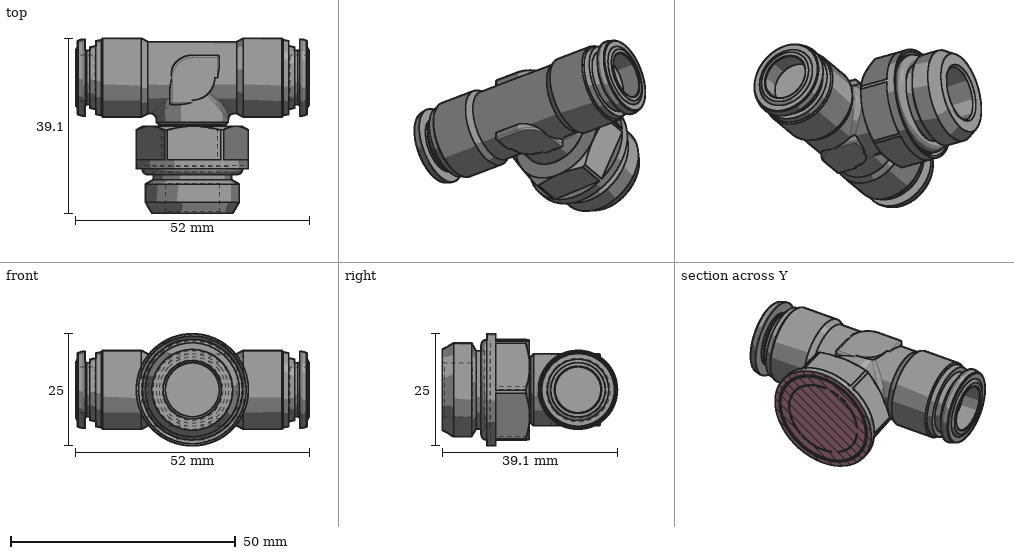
import cadquery as cq
import math

run_radius = 8.03
sleeve_radius = 8.8
sleeve_taper_start = 9.9
sleeve_start = 11.35
sleeve_end = 19.95
sleeve_rim_length = 0.3

cap_end = 21.5
cap_root_radius = 8.45
cap_tip_radius = 8.2
insert_end = 22.8
insert_root_radius = 7.1
insert_tip_radius = 6.8
collar_neck_radius = 6.05
collar_flare_start = 23.5
collar_flare_radius = 6.2

collar_flange_start = 23.9
collar_flange_taper_start = 24.35
collar_flange_end = 25.6
collar_flange_back_radius = 8.6
collar_flange_front_radius = 8.3
collar_flange_edge_chamfer = 0.2
run_half_length = 26.0
lip_root_radius = 6.83
lip_tip_radius = 6.05

tube_bore_radius = 5.1
tube_bore_chamfer = 0.17
tube_bore_depth = 4.3

neck_radius = 8.05
neck_end = -10.53
neck_chamfer = 0.65
neck_fillet = 1.2

pad_height = neck_radius
pad_inner = 5.0
pad_outer = 6.0
pad_fillet = 0.5

shoulder_radius = 6.75
hex_back = -10.8
hex_front = -18.3
hex_across_flats = 22.0
hex_turn = 2.1
flange_radius = 12.5
flange_face = -20.3
hex_chamfer_depth = 0.85

seal_major_radius = 9.9
seal_section_radius = 1.3
seal_recess_outer = 12.0
seal_recess_depth = 0.8
undercut_radius = 8.75
undercut_end = -22.7
thread_radius = 10.47
thread_start = -23.7
thread_end = -27.72
stud_end = -30.25
stud_tip_radius = 9.0
stud_bore_radius = 6.0
stud_bore_chamfer = 0.5
stud_bore_depth = 6.7


def turned_about_x(points):
    """Revolve an outline of (x, radius) points about the X axis."""
    outline = cq.Workplane("XY").polyline(points).close()
    return outline.revolve(360, (0, 0, 0), (1, 0, 0))


def turned_about_y(points):
    """Revolve an outline of (radius, y) points about the Y axis."""
    outline = cq.Workplane("XY").polyline(points).close()
    return outline.revolve(360, (0, 0, 0), (0, 1, 0))


def make_run_and_neck():
    """Plain tee of two crossing cylinders, blended where they meet."""
    run = cq.Workplane("YZ").circle(run_radius).extrude(sleeve_start, both=True)
    neck = turned_about_y([
        (0, 0),
        (neck_radius, 0),
        (neck_radius, neck_end + neck_chamfer),
        (neck_radius - neck_chamfer, neck_end),
        (0, neck_end),
    ])
    tee = run.union(neck)
    return tee.edges("%BSPLINE").fillet(neck_fillet)


def make_port():
    """Sleeve, release collar and tube bore of the port on the +X end."""
    port = turned_about_x([
        (sleeve_taper_start, 0),
        (sleeve_taper_start, run_radius),
        (sleeve_start, sleeve_radius),
        (sleeve_end, sleeve_radius),
        (sleeve_end + sleeve_rim_length, cap_root_radius),
        (cap_end, cap_tip_radius),
        (cap_end, insert_root_radius),
        (insert_end, insert_tip_radius),
        (insert_end, collar_neck_radius),
        (collar_flare_start, collar_neck_radius),
        (collar_flange_start, collar_flare_radius),
        (collar_flange_start, collar_flange_back_radius),
        (collar_flange_taper_start, collar_flange_back_radius),
        (collar_flange_end - collar_flange_edge_chamfer, collar_flange_front_radius),
        (collar_flange_end, collar_flange_front_radius - collar_flange_edge_chamfer),
        (collar_flange_end, lip_root_radius),
        (run_half_length, lip_tip_radius),
        (run_half_length, 0),
    ])
    bore_floor = run_half_length - tube_bore_depth
    bore = turned_about_x([
        (bore_floor, 0),
        (bore_floor, tube_bore_radius),
        (run_half_length - tube_bore_chamfer, tube_bore_radius),
        (run_half_length, tube_bore_radius + tube_bore_chamfer),
        (run_half_length, 0),
    ])
    return port.cut(bore)


def make_pad():
    """Leaf-shaped pad: two small corners, two broad arcs, and filleted proud edges."""
    diagonal = pad_inner * math.sqrt(0.5)
    blank = (
        cq.Workplane("XY")
        .moveTo(pad_outer, 0)
        .lineTo(pad_outer, pad_inner)
        .lineTo(0, pad_inner)
        .threePointArc((-diagonal, diagonal), (-pad_inner, 0))
        .lineTo(-pad_inner, -pad_outer)
        .lineTo(0, -pad_outer)
        .lineTo(0, -pad_inner)
        .threePointArc((diagonal, -diagonal), (pad_inner, 0))
        .close()
        .extrude(pad_height)
    )
    top_edges = blank.faces(">Z").edges()
    straight_edges = [
        edge for edge in top_edges.vals()
        if edge.geomType() == "LINE" and edge.Length() > pad_outer - pad_inner
    ]
    back_left_arc = top_edges.edges("%CIRCLE").edges("<X").val()
    small_corners = blank.edges("|Z").edges(">(1,1,0) or <(1,1,0)").vals()
    return blank.newObject(straight_edges + [back_left_arc] + small_corners).fillet(pad_fillet)


def make_housing():
    """Tee with a port at each end and a pad above and below."""
    housing = make_run_and_neck()
    port = make_port()
    pad = make_pad()
    housing = housing.union(port).union(port.mirror("YZ"))
    return housing.union(pad).union(pad.mirror("XY"))


def make_hexagon():
    """Hexagon with its corners turned down to the flange and its back edge chamfered."""
    length = hex_back - hex_front
    corner_radius = hex_across_flats / math.sqrt(3)
    corners = [
        (corner_radius * math.cos(side * math.pi / 3), corner_radius * math.sin(side * math.pi / 3))
        for side in range(6)
    ]
    prism = (
        cq.Workplane("XZ", origin=(0, hex_back, 0))
        .polyline(corners)
        .close()
        .extrude(length)
        .rotate((0, 0, 0), (0, 1, 0), hex_turn)
    )
    blank = turned_about_y([
        (0, hex_back),
        (hex_across_flats / 2, hex_back),
        (flange_radius, hex_back - hex_chamfer_depth),
        (flange_radius, hex_front),
        (0, hex_front),
    ])
    return prism.intersect(blank)


def make_stud():
    """Turned stud with hexagon, sealing bead and blind bore."""
    recess_floor = flange_face + seal_recess_depth
    turned = turned_about_y([
        (0, neck_end),
        (shoulder_radius, neck_end),
        (shoulder_radius, hex_front),
        (flange_radius, hex_front),
        (flange_radius, flange_face),
        (seal_recess_outer, flange_face),
        (seal_recess_outer - seal_recess_depth, recess_floor),
        (undercut_radius, recess_floor),
        (undercut_radius, undercut_end),
        (thread_radius, thread_start),
        (thread_radius, thread_end),
        (stud_tip_radius, stud_end),
        (0, stud_end),
    ])
    seal_bead = (
        cq.Workplane("XY")
        .center(seal_major_radius, flange_face)
        .circle(seal_section_radius)
        .revolve(360, (-seal_major_radius, 0, 0), (-seal_major_radius, 1, 0))
    )
    bore_floor = stud_end + stud_bore_depth
    bore = turned_about_y([
        (0, bore_floor),
        (stud_bore_radius, bore_floor),
        (stud_bore_radius, stud_end + stud_bore_chamfer),
        (stud_bore_radius + stud_bore_chamfer, stud_end),
        (0, stud_end),
    ])
    return turned.union(make_hexagon()).union(seal_bead).cut(bore)


housing = make_housing()
stud = make_stud()
result = cq.Compound.makeCompound([housing.solids().val(), stud.solids().val()])